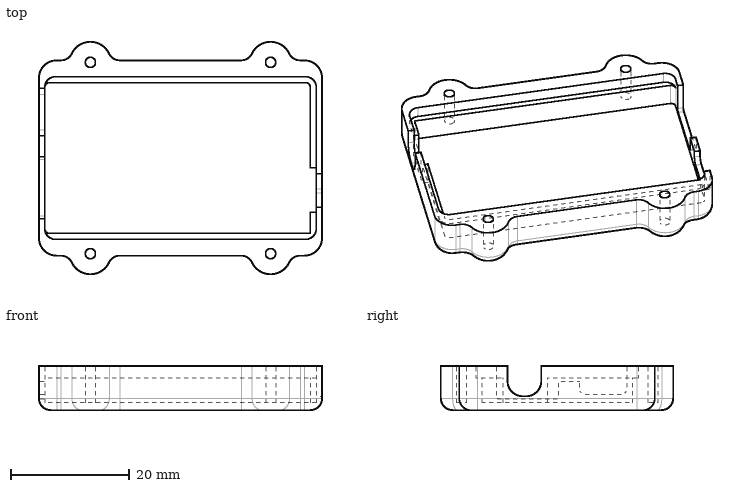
import cadquery as cq

length = 47.9
width_over_lugs = 39.33
body_width = 33.05
height = 7.5
corner_radius = 3.0
bottom_radius = 2.0

lug_radius = 3.5
lug_blend_radius = 2.0
lug_x = 15.25
lug_y = width_over_lugs / 2 - lug_radius
lug_centres = [(x, y) for x in (-lug_x, lug_x) for y in (-lug_y, lug_y)]
screw_hole_radius = 0.85

wall = 1.0
recess_width = 27.5
recess_radius = 1.75
ledge_width = 1.0
ledge_z = 5.5
floor_z = 1.4

recess_length = length - 2 * wall
pocket_width = recess_width - 2 * ledge_width
pocket_end_x = recess_length / 2 - ledge_width
pocket_radius = recess_radius - ledge_width

ledge_gap_y = (-9.15, -1.7)

notch_y = -5.5
notch_width = 5.65
notch_radius = 2.5
notch_z = 2.4

opening_y = (-10.25, 11.8)
tab_y = (0.25, 3.75)
tab_z = 4.9
deep_sill_z = 1.9
deep_sill_radius = 0.5
high_sill_z = 2.75
high_sill_radius = 1.0


def centred(size):
    """Range of the given size, centred on zero."""
    return (-size / 2, size / 2)


def box_between(x_range, y_range, z_range):
    """Axis-aligned box spanning the given (low, high) ranges."""
    spans = [high - low for low, high in (x_range, y_range, z_range)]
    corner = (x_range[0], y_range[0], z_range[0])
    return cq.Workplane("XY").box(*spans, centered=False).translate(corner)


def body():
    """Rounded block with four lugs blended into its long sides and a rounded bottom rim."""
    block = box_between(centred(length), centred(body_width), (0, height))
    lugs = cq.Workplane("XY").pushPoints(lug_centres).circle(lug_radius).extrude(height)
    shell = block.union(lugs)
    shell = shell.edges("|Z").edges("not(<X or >X)").fillet(lug_blend_radius)
    shell = shell.edges("|Z").edges("<X or >X").fillet(corner_radius)
    return shell.faces("<Z").edges().fillet(bottom_radius)


def interior():
    """Upper recess plus the pocket inside the ledge."""
    recess_x = centred(recess_length)
    recess = box_between(recess_x, centred(recess_width), (ledge_z, height)).edges("|Z").fillet(recess_radius)

    pocket_x = (recess_x[0], pocket_end_x)
    pocket = box_between(pocket_x, centred(pocket_width), (floor_z, height))
    pocket = pocket.edges("|Z").edges("<X or >Y").fillet(pocket_radius)

    gap = box_between((pocket_end_x, recess_x[1]), ledge_gap_y, (floor_z, height))
    return recess.union(pocket).union(gap)


def screw_holes():
    """Blind holes that stop level with the tray floor."""
    base = cq.Workplane("XY").workplane(offset=floor_z)
    return base.pushPoints(lug_centres).circle(screw_hole_radius).extrude(height - floor_z)


def cable_notch():
    """Round-bottomed notch, open at the rim."""
    x_range = (length / 2 - wall, length / 2)
    y_range = (notch_y - notch_width / 2, notch_y + notch_width / 2)
    return box_between(x_range, y_range, (notch_z, height)).edges("|X and <Z").fillet(notch_radius)


def end_opening():
    """Two sills with a tab between them, open at the rim."""
    x_range = (-length / 2, -length / 2 + wall)
    deep = box_between(x_range, (opening_y[0], tab_y[0]), (deep_sill_z, height))
    high = box_between(x_range, (tab_y[1], opening_y[1]), (high_sill_z, height))
    above_tab = box_between(x_range, opening_y, (tab_z, height))
    deep = deep.edges("|X and <Z").fillet(deep_sill_radius)
    high = high.edges("|X and <Z").fillet(high_sill_radius)
    return deep.union(high).union(above_tab)


result = body()
for cutter in (interior(), screw_holes(), cable_notch(), end_opening()):
    result = result.cut(cutter)